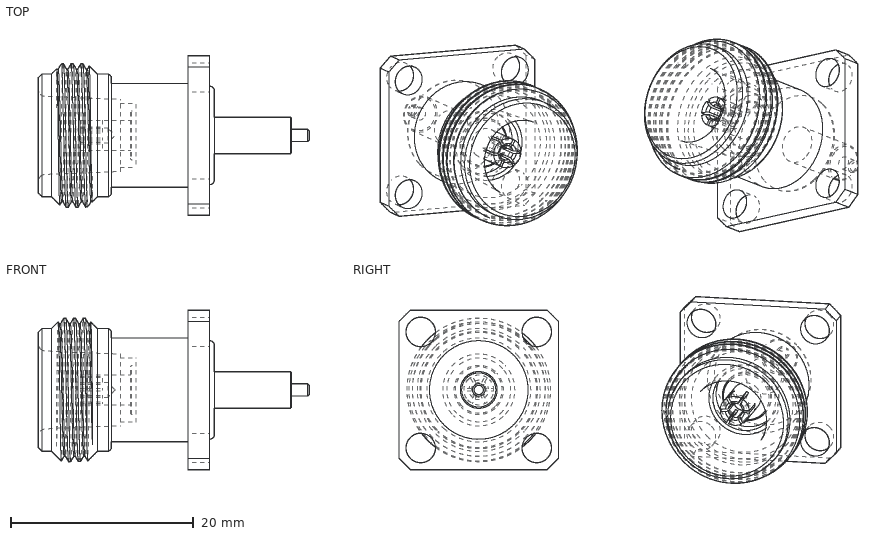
import cadquery as cq
import math

total_length = 29.7

head_length = 8.02
head_radius = 6.75
front_chamfer = 0.42
rear_chamfer = 0.3
thread_start = 1.45
thread_end = 6.47
thread_radius = 7.87
thread_pitch = 1.07
thread_depth = 0.6
groove_floor_width = 0.15
flank_angle = 30.0
groove_overcut = 0.1
groove_origin = 0.77
groove_turns = 6

barrel_radius = 5.7
flange_front = 16.4
flange_back = 18.77
flange_side = 17.5
flange_corner_chamfer = 1.25
mount_hole_diameter = 3.2
mount_hole_spacing = 12.7

boss_end = 19.3
boss_radius = 5.4
boss_rounding = 0.5
sleeve_end = 27.77
sleeve_radius = 2.02
sleeve_chamfer = 0.15
tail_radius = 0.68
tail_chamfer = 0.18

mouth_radius = 5.08
mouth_rounding = 0.8
socket_floor_radius = 3.95
socket_depth = 9.0
well_radius = 3.5
well_depth = 10.7
insulator_radius = 2.7
insulator_height = 0.6
insulator_chamfer = 0.15

contact_front = 4.07
contact_radius = 1.63
contact_hole_radius = 0.8
contact_hole_chamfer = 0.27
contact_hole_depth = 3.55
slot_width = 0.27
slot_depth = 2.97
slot_cuts = 3


def cylinder(start, end, radius):
    """Solid cylinder about the X axis between two stations."""
    return cq.Workplane("YZ").workplane(offset=start).circle(radius).extrude(end - start)


def revolve_about_x(outline):
    """Revolve an outline of (station, radius), closed along the axis."""
    return outline.close().revolve(360, (0, 0, 0), (1, 0, 0))


def thread_groove():
    """Helical V groove, built along Z and then laid along X."""
    root_radius = thread_radius - thread_depth
    mouth = thread_radius + groove_overcut
    floor_half = groove_floor_width / 2
    mouth_half = floor_half + (mouth - root_radius) * math.tan(math.radians(flank_angle))
    helix = cq.Wire.makeHelix(thread_pitch, thread_pitch * groove_turns, thread_radius)
    groove = (
        cq.Workplane("XZ")
        .polyline([
            (root_radius, -floor_half),
            (root_radius, floor_half),
            (mouth, mouth_half),
            (mouth, -mouth_half),
        ])
        .close()
        .sweep(cq.Workplane(helix), isFrenet=True)
    )
    return groove.rotate((0, 0, 0), (0, 1, 0), 90).translate((groove_origin, 0, 0))


def threaded_head():
    rise = thread_radius - head_radius
    outline = cq.Workplane("XY").polyline([
        (0, 0),
        (0, head_radius - front_chamfer),
        (front_chamfer, head_radius),
        (thread_start, head_radius),
        (thread_start + rise, thread_radius),
        (thread_end - rise, thread_radius),
        (thread_end, head_radius),
        (head_length - rear_chamfer, head_radius),
        (head_length, head_radius - rear_chamfer),
        (head_length, 0),
    ])
    threaded_rod = cylinder(0, head_length, thread_radius).cut(thread_groove())
    return threaded_rod.intersect(revolve_about_x(outline))


def flange():
    return (
        cq.Workplane("YZ")
        .workplane(offset=flange_front)
        .rect(flange_side, flange_side)
        .extrude(flange_back - flange_front)
        .edges("|X")
        .chamfer(flange_corner_chamfer)
        .faces("<X")
        .workplane()
        .rect(mount_hole_spacing, mount_hole_spacing, forConstruction=True)
        .vertices()
        .hole(mount_hole_diameter)
    )


def rear_tail():
    boss = cylinder(flange_front, boss_end, boss_radius).faces(">X").edges().fillet(boss_rounding)
    sleeve = cylinder(flange_front, sleeve_end, sleeve_radius).faces(">X").chamfer(sleeve_chamfer)
    tail = cylinder(flange_front, total_length, tail_radius).faces(">X").chamfer(tail_chamfer)
    return boss.union(sleeve).union(tail)


def socket():
    """Cavity with a rounded mouth, a tapered wall and a stepped well."""
    throat_radius = mouth_radius - mouth_rounding
    arc_middle = mouth_rounding * math.sin(math.radians(45))
    outline = (
        cq.Workplane("XY")
        .moveTo(0, 0)
        .lineTo(0, mouth_radius)
        .threePointArc(
            (mouth_rounding - arc_middle, mouth_radius - arc_middle),
            (mouth_rounding, throat_radius),
        )
        .lineTo(socket_depth, socket_floor_radius)
        .lineTo(socket_depth, well_radius)
        .lineTo(well_depth, well_radius)
        .lineTo(well_depth, 0)
    )
    return revolve_about_x(outline)


def centre_contact():
    """Contact with a drilled, chamfered tip split by evenly spaced slots."""
    contact = cylinder(contact_front, flange_front, contact_radius)
    hole_floor = contact_front + contact_hole_depth
    drill = cq.Workplane("XY").polyline([
        (contact_front, 0),
        (contact_front, contact_hole_radius + contact_hole_chamfer),
        (contact_front + contact_hole_chamfer, contact_hole_radius),
        (hole_floor, contact_hole_radius),
        (hole_floor + contact_hole_radius, 0),
    ])
    contact = contact.cut(revolve_about_x(drill))
    for index in range(slot_cuts):
        slot = (
            cq.Workplane("YZ")
            .workplane(offset=contact_front)
            .rect(2 * contact_radius + slot_width, slot_width)
            .extrude(slot_depth)
            .rotate((0, 0, 0), (1, 0, 0), index * 180 / slot_cuts)
        )
        contact = contact.cut(slot)
    return contact


def insulator():
    front = well_depth - insulator_height
    return cylinder(front, flange_front, insulator_radius).faces("<X").chamfer(insulator_chamfer)


barrel = cylinder(head_length, flange_front, barrel_radius)
shell = threaded_head().union(barrel).union(flange()).union(rear_tail()).cut(socket())
result = shell.union(insulator()).union(centre_contact())